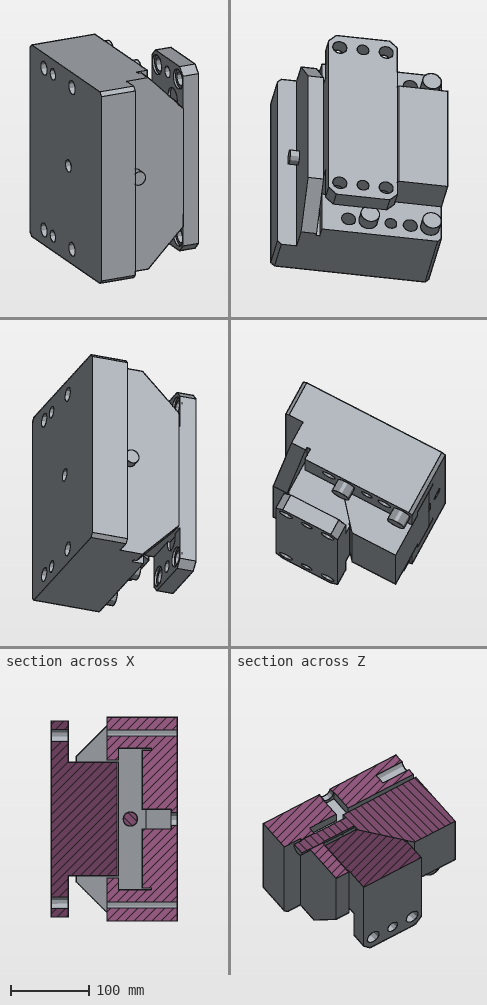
import cadquery as cq
import math


housing_length = 205.0
housing_height = 260.0
housing_depth = 90.0
housing_corner = 5.0
foot_depth = 48.0

wall_inner_x = 160.0
wall_thickness = 20.0
wall_top_y = 129.0
wall_tip_height = 160.0
relief_width = 5.0
wall_outer_x = wall_inner_x + wall_thickness

channel_floor_y = 45.0
flange_thickness = 30.0
flange_height = 180.0
neck_height = 150.0
flange_top_y = channel_floor_y + flange_thickness
slit_depth = 12.0
slit_width = 2.0
key_groove_depth = 5.0
key_groove_height = 25.0

hole_row_z = 109.7
bolt_hole_diameter = 18.0
bolt_hole_x = 40.3
bolt_spacing = 80.0
dowel_hole_diameter = 15.0
dowel_hole_x = 65.5
centre_hole_diameter = 16.0
centre_hole_x = 110.0
centre_pocket_length = 18.2
centre_pocket_start_y = 8.0
side_hole_diameter = 15.0
side_hole_y = 22.0
side_hole_depth = 40.0
bolt_head_diameter = 24.0
bolt_head_height = 16.0
bolt_head_x = 15.0

slide_top_y = 135.0
slide_top_length = 63.0
slide_foot_length = 112.0
wedge_angle = 40.0
rod_diameter = 18.2
rod_end_x = 192.0
rod_y = channel_floor_y + flange_thickness / 2

plate_left_x = 70.0
plate_right_x = 159.0
plate_height = 250.0
plate_thickness = 22.0
plate_top_y = 161.0
plate_corner = 10.0
follower_neck_height = 145.0
contact_top_y = 125.3
wedge_clearance = 1.3
plate_bottom_y = plate_top_y - plate_thickness
plate_centre_x = (plate_left_x + plate_right_x) / 2

plate_row_z = 106.5
plate_bolt_spacing = 60.0
plate_bolt_diameter = 18.0
counterbore_diameter = 26.0
counterbore_depth = 3.0
plate_dowel_diameter = 15.0
neck_recess_x = plate_centre_x + 15.0
neck_recess_z = 76.7


def prism_along_z(points, height):
    """Extrude an XY outline, centred on Z = 0."""
    return cq.Workplane("XY").polyline(points).close().extrude(height / 2, both=True)


def box_between(x_range, y_range, height, z_centre=0.0):
    """Box given by its X and Y limits and its height about z_centre."""
    length = x_range[1] - x_range[0]
    depth = y_range[1] - y_range[0]
    centre = ((x_range[0] + x_range[1]) / 2, (y_range[0] + y_range[1]) / 2, z_centre)
    return cq.Workplane("XY").box(length, depth, height).translate(centre)


def cylinder_along_y(diameter, x, z, y_start, y_end):
    """Cylinder parallel to Y between two Y positions."""
    base = cq.Vector(x, y_start, z)
    return cq.Workplane(cq.Solid.makeCylinder(diameter / 2, y_end - y_start, base, cq.Vector(0, 1, 0)))


def cylinder_along_x(diameter, y, x_start, x_end):
    """Cylinder parallel to X in the plane of symmetry."""
    base = cq.Vector(x_start, y, 0)
    return cq.Workplane(cq.Solid.makeCylinder(diameter / 2, x_end - x_start, base, cq.Vector(1, 0, 0)))


def wedge_x(y):
    """X position of the sloped wedge face at height y."""
    return slide_top_length + (slide_top_y - y) * math.tan(math.radians(wedge_angle))


def make_housing_block():
    """Block with foot, end wall and relief groove, before any holes."""
    block = prism_along_z(
        [
            (0, 0),
            (housing_length, 0),
            (housing_length, foot_depth),
            (wall_outer_x, foot_depth),
            (wall_outer_x, wall_top_y),
            (wall_inner_x, wall_top_y),
            (wall_inner_x, flange_top_y),
            (wall_inner_x - relief_width, flange_top_y),
            (wall_inner_x - relief_width, housing_depth),
            (0, housing_depth),
        ],
        housing_height,
    )
    block = block.faces("<X or >X").edges("|Y").chamfer(housing_corner)

    half_height = housing_height / 2
    bevel = half_height - wall_tip_height / 2
    for side in (1, -1):
        corner = (
            cq.Workplane("YZ", origin=(wall_inner_x, 0, 0))
            .moveTo(wall_top_y, side * (half_height - bevel))
            .lineTo(wall_top_y, side * half_height)
            .lineTo(wall_top_y - bevel, side * half_height)
            .close()
            .extrude(wall_thickness)
        )
        block = block.cut(corner)
    return block


def cut_channel(block):
    """Cut the T-channel, the slits at its floor corners and the key groove."""
    channel_x = (0, wall_inner_x)
    block = block.cut(box_between(channel_x, (channel_floor_y, flange_top_y), flange_height))
    block = block.cut(box_between(channel_x, (flange_top_y, housing_depth), neck_height))
    key_y = (channel_floor_y - key_groove_depth, channel_floor_y)
    block = block.cut(box_between(channel_x, key_y, key_groove_height))
    slit_y = (channel_floor_y - slit_depth, channel_floor_y)
    for side in (1, -1):
        slit_z = side * (flange_height - slit_width) / 2
        block = block.cut(box_between(channel_x, slit_y, slit_width, slit_z))
    return block


def make_housing():
    housing = cut_channel(make_housing_block())
    base_holes = [
        (bolt_hole_diameter, bolt_hole_x),
        (bolt_hole_diameter, bolt_hole_x + bolt_spacing),
        (dowel_hole_diameter, dowel_hole_x),
    ]
    for z in (hole_row_z, -hole_row_z):
        for diameter, x in base_holes:
            housing = housing.cut(cylinder_along_y(diameter, x, z, 0, housing_depth))
        for x in (bolt_head_x, bolt_head_x + bolt_spacing):
            head_top_y = housing_depth + bolt_head_height
            housing = housing.union(cylinder_along_y(bolt_head_diameter, x, z, housing_depth, head_top_y))

    housing = housing.cut(cylinder_along_y(centre_hole_diameter, centre_hole_x, 0, 0, centre_pocket_start_y))
    pocket_x = (centre_hole_x - centre_pocket_length / 2, centre_hole_x + centre_pocket_length / 2)
    pocket_y = (centre_pocket_start_y, channel_floor_y)
    housing = housing.cut(box_between(pocket_x, pocket_y, key_groove_height))
    housing = housing.cut(cylinder_along_x(side_hole_diameter, side_hole_y, 0, side_hole_depth))
    return housing.cut(cylinder_along_x(rod_diameter, rod_y, wall_inner_x, wall_outer_x))


def make_slide():
    """T-section slide with a sloped end and a rod through the end wall."""
    flange = box_between((0, slide_foot_length), (channel_floor_y, flange_top_y), flange_height)
    slope_drop = (slide_foot_length - slide_top_length) / math.tan(math.radians(wedge_angle))
    neck = prism_along_z(
        [
            (0, flange_top_y),
            (slide_foot_length, flange_top_y),
            (slide_foot_length, slide_top_y - slope_drop),
            (slide_top_length, slide_top_y),
            (0, slide_top_y),
        ],
        neck_height,
    )
    rod = cylinder_along_x(rod_diameter, rod_y, slide_foot_length, rod_end_x)
    return flange.union(neck).union(rod)


def make_plate():
    """Mounting plate with chamfered corners, counterbored bolt holes and dowel holes."""
    plate = box_between((plate_left_x, plate_right_x), (plate_bottom_y, plate_top_y), plate_height)
    plate = plate.edges("|Y").chamfer(plate_corner)
    counterbore_y = plate_bottom_y + counterbore_depth
    for side in (1, -1):
        row_z = side * plate_row_z
        for x in (plate_centre_x - plate_bolt_spacing / 2, plate_centre_x + plate_bolt_spacing / 2):
            plate = plate.cut(cylinder_along_y(plate_bolt_diameter, x, row_z, plate_bottom_y, plate_top_y))
            plate = plate.cut(cylinder_along_y(counterbore_diameter, x, row_z, plate_bottom_y, counterbore_y))
        plate = plate.cut(
            cylinder_along_y(plate_dowel_diameter, plate_centre_x, row_z, plate_bottom_y, plate_top_y)
        )
        recess_z = side * neck_recess_z
        plate = plate.cut(
            cylinder_along_y(counterbore_diameter, neck_recess_x, recess_z, plate_bottom_y, counterbore_y)
        )
    return plate


def make_follower():
    """Plate on a neck that touches the wedge and the end wall below contact_top_y only."""
    neck_top_y = plate_bottom_y + counterbore_depth
    clear_slope_x = wedge_x(contact_top_y) + wedge_clearance
    left_drop = (clear_slope_x - plate_left_x) / math.tan(math.radians(wedge_angle))
    neck = prism_along_z(
        [
            (plate_left_x, neck_top_y),
            (plate_left_x, contact_top_y + left_drop),
            (clear_slope_x, contact_top_y),
            (wedge_x(contact_top_y), contact_top_y),
            (wedge_x(flange_top_y), flange_top_y),
            (wall_inner_x, flange_top_y),
            (wall_inner_x, contact_top_y),
            (plate_right_x, contact_top_y),
            (plate_right_x, neck_top_y),
        ],
        follower_neck_height,
    )
    return make_plate().union(neck)


housing = make_housing()
slide = make_slide()
follower = make_follower()

result = cq.Compound.makeCompound([housing.val(), slide.val(), follower.val()])